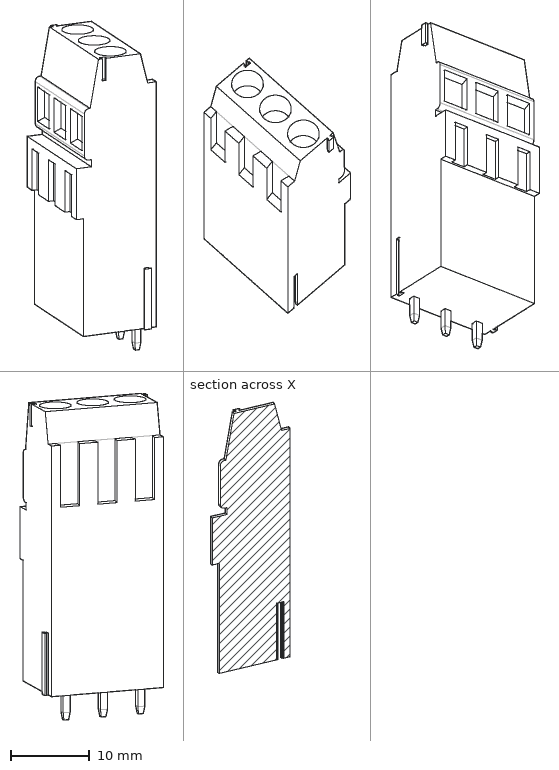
import cadquery as cq

TOTAL_HEIGHT = 40.1
POLE_COUNT = 3
WIDTH = 15.25
DEPTH = 10.15
PITCH = WIDTH / POLE_COUNT
POLE_CENTRES = [PITCH * (pole + 0.5) for pole in range(POLE_COUNT)]

PIN_LENGTH = 3.5
PIN_TIP_LENGTH = 1.0
PIN_WIDTH = 0.95
PIN_THICKNESS = 0.85
PIN_TIP_WIDTH = 0.65
PIN_TIP_THICKNESS = 0.55
PIN_Y = 8.5

HEIGHT = TOTAL_HEIGHT - PIN_LENGTH
TOP_FRONT_Y = 2.1
TOP_BACK_Y = 7.95
STEP_Y = 8.95
STEP_Z = 32.6
NOSE_FRONT_Y = 0.12
NOSE_TOP_Y = 0.92
NOSE_TOP_Z = 30.25
NOSE_BOTTOM_Z = 23.38
NOSE_RADIUS = 0.65
RECESS_Y = 1.1
LEDGE_OVERHANG = 1.0
LEDGE_TOP_Z = 22.45
LEDGE_BOTTOM_Z = 15.68

SHAFT_DIAMETER = 4.0
SHAFT_DEPTH = 4.0
SHAFT_Y = 4.9

WINDOW_WIDTH = 3.6
WINDOW_BOTTOM_Z = 24.5
WINDOW_TOP_Z = 29.07
WINDOW_TAPER = 0.4
WINDOW_DEPTH = 1.0

LEDGE_SLOT_WIDTH = 1.95
LEDGE_SLOT_TOP_Z = 21.2
LEDGE_SLOT_DEPTH = 0.7

GROOVE_MOUTH_WIDTH = 2.55
GROOVE_FLOOR_WIDTH = 3.0
GROOVE_LENGTH = 8.05

FRONT_RIB_Y = 2.9
FRONT_RIB_HEIGHT = 2.93
FRONT_RIB_REACH = 0.5
FRONT_SLOT_REACH = 0.6
FRONT_NECK = 0.52
FRONT_HEAD = 0.85
BACK_RAIL_Y = 8.75
BACK_RAIL_HEIGHT = 8.05
BACK_RAIL_REACH = 0.55
BACK_SLOT_REACH = 0.6
BACK_NECK = 0.55
BACK_HEAD = 0.95
HEAD_THICKNESS = 0.3


def box(x_range, y_range, z_range):
    """Axis-aligned box between the given limits."""
    size = [high - low for low, high in (x_range, y_range, z_range)]
    corner = (x_range[0], y_range[0], z_range[0])
    return cq.Workplane("XY").box(*size, centered=False).translate(corner)


def housing_body():
    """Side profile of the housing, extruded over its full width, with a rounded nose."""
    profile = [
        (0, 0),
        (DEPTH, 0),
        (DEPTH, STEP_Z),
        (STEP_Y, STEP_Z),
        (TOP_BACK_Y, HEIGHT),
        (TOP_FRONT_Y, HEIGHT),
        (NOSE_TOP_Y, NOSE_TOP_Z),
        (NOSE_FRONT_Y, NOSE_TOP_Z),
        (NOSE_FRONT_Y, NOSE_BOTTOM_Z),
        (RECESS_Y, NOSE_BOTTOM_Z),
        (RECESS_Y, LEDGE_TOP_Z),
        (-LEDGE_OVERHANG, LEDGE_TOP_Z),
        (-LEDGE_OVERHANG, LEDGE_BOTTOM_Z),
        (0, LEDGE_BOTTOM_Z),
    ]
    body = cq.Workplane("YZ").polyline(profile).close().extrude(WIDTH)
    nose_edges = cq.selectors.BoxSelector(
        (-0.4, NOSE_FRONT_Y - 0.05, NOSE_BOTTOM_Z - 0.05),
        (WIDTH + 0.4, NOSE_FRONT_Y + 0.05, NOSE_TOP_Z + 0.05),
    )
    return body.edges("|X").edges(nose_edges).fillet(NOSE_RADIUS)


def screw_shaft(x):
    """Blind round shaft going down from the top face."""
    floor = cq.Workplane("XY", origin=(x, SHAFT_Y, HEIGHT - SHAFT_DEPTH))
    return floor.circle(SHAFT_DIAMETER / 2).extrude(SHAFT_DEPTH)


def wire_window(x):
    """Pocket in the nose with sloping top and bottom walls."""
    back_y = NOSE_FRONT_Y + WINDOW_DEPTH
    profile = [
        (NOSE_FRONT_Y, WINDOW_BOTTOM_Z),
        (back_y, WINDOW_BOTTOM_Z + WINDOW_TAPER),
        (back_y, WINDOW_TOP_Z - WINDOW_TAPER),
        (NOSE_FRONT_Y, WINDOW_TOP_Z),
    ]
    left_wall = cq.Workplane("YZ", origin=(x - WINDOW_WIDTH / 2, 0, 0))
    return left_wall.polyline(profile).close().extrude(WINDOW_WIDTH)


def ledge_slot(x):
    """Slot in the front of the ledge, open at its underside."""
    return box(
        (x - LEDGE_SLOT_WIDTH / 2, x + LEDGE_SLOT_WIDTH / 2),
        (-LEDGE_OVERHANG, LEDGE_SLOT_DEPTH - LEDGE_OVERHANG),
        (LEDGE_BOTTOM_Z, LEDGE_SLOT_TOP_Z),
    )


def dovetail_groove(x):
    """Upright groove in the back face, wider at its floor than at its mouth."""
    outline = [
        (x - GROOVE_MOUTH_WIDTH / 2, DEPTH),
        (x - GROOVE_FLOOR_WIDTH / 2, STEP_Y),
        (x + GROOVE_FLOOR_WIDTH / 2, STEP_Y),
        (x + GROOVE_MOUTH_WIDTH / 2, DEPTH),
    ]
    lower_end = cq.Workplane("XY", origin=(0, 0, STEP_Z - GROOVE_LENGTH))
    return lower_end.polyline(outline).close().extrude(GROOVE_LENGTH)


def t_bar(wall_x, y, reach, neck, head, z_range):
    """Upright bar of T section that reaches from the plane x = wall_x; a negative reach goes to -X."""
    tip_x = wall_x + reach
    direction = 1 if reach > 0 else -1
    head_x = tip_x - direction * HEAD_THICKNESS
    neck_bar = box(sorted((wall_x, tip_x)), (y - neck / 2, y + neck / 2), z_range)
    head_bar = box(sorted((head_x, tip_x)), (y - head / 2, y + head / 2), z_range)
    return neck_bar.union(head_bar)


def make_housing():
    """Housing with its shafts, windows, slots, grooves and interlocks."""
    body = housing_body()
    for x in POLE_CENTRES:
        for cutter in (screw_shaft, wire_window, ledge_slot, dovetail_groove):
            body = body.cut(cutter(x))

    front_span = (HEIGHT - FRONT_RIB_HEIGHT, HEIGHT)
    back_span = (0, BACK_RAIL_HEIGHT)
    front_rib = t_bar(0, FRONT_RIB_Y, -FRONT_RIB_REACH, FRONT_NECK, FRONT_HEAD, front_span)
    front_slot = t_bar(WIDTH, FRONT_RIB_Y, -FRONT_SLOT_REACH, FRONT_NECK, FRONT_HEAD, front_span)
    back_rail = t_bar(WIDTH, BACK_RAIL_Y, BACK_RAIL_REACH, BACK_NECK, BACK_HEAD, back_span)
    back_slot = t_bar(0, BACK_RAIL_Y, BACK_SLOT_REACH, BACK_NECK, BACK_HEAD, back_span)
    return body.cut(front_slot).cut(back_slot).union(front_rib).union(back_rail)


def make_pin(x):
    """Rectangular pin that hangs from the underside and ends in a tapered tip."""
    shank_length = PIN_LENGTH - PIN_TIP_LENGTH
    shank = cq.Workplane("XY", origin=(x, PIN_Y, 0)).rect(PIN_WIDTH, PIN_THICKNESS).extrude(-shank_length)
    tip = (
        cq.Workplane("XY", origin=(x, PIN_Y, -PIN_LENGTH))
        .rect(PIN_TIP_WIDTH, PIN_TIP_THICKNESS)
        .workplane(offset=PIN_TIP_LENGTH)
        .rect(PIN_WIDTH, PIN_THICKNESS)
        .loft()
    )
    return shank.union(tip)


housing = make_housing()
pins = [make_pin(x) for x in POLE_CENTRES]

result = cq.Compound.makeCompound([housing.val(), *[pin.val() for pin in pins]])